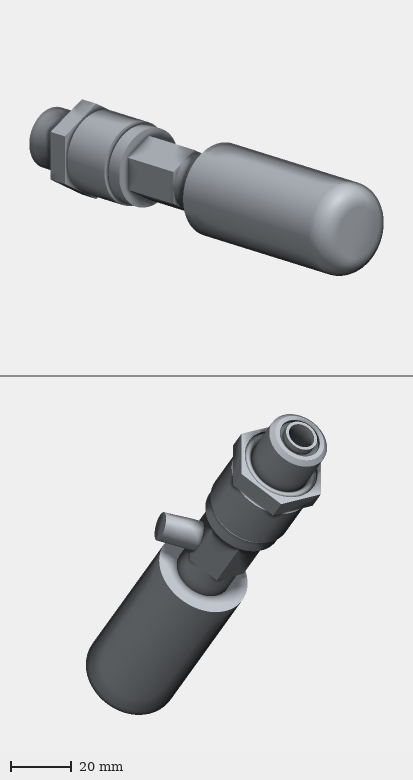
import cadquery as cq
import math


collar_start = 1.5
barrel_start = 2.8
nut_start = 17.1
nut_end = 24.0
sleeve_start = 25.1
sleeve_end = 42.8
disc_start = 44.0
disc_end = 49.1
hex_body_end = 71.0
handle_start = 82.1
handle_end = 148.7

tip_diameter = 11.2
bore_diameter = 9.0
recess_diameter = 14.5
collar_front_diameter = 17.5
barrel_diameter = 20.8
nut_neck_diameter = 26.2
sleeve_diameter = 28.7
disc_neck_diameter = 14.3
disc_diameter = 27.0
stem_diameter = 19.2
handle_diameter = 31.8
handle_fillet = 6.7

nut_corners = 33.0
hex_body_flats = stem_diameter
hex_body_corners = hex_body_flats / math.cos(math.pi / 6)

bore_depth = 16.4
recess_depth = 1.5

seal_outer_diameter = 25.7
seal_setback = 0.1

stub_x = 64.5
stub_base_diameter = 10.1
stub_end_diameter = 9.7
stub_taper_start = 14.6
stub_end = 23.0


def cylinder(start, end, diameter):
    """Cylinder on the X axis."""
    return cq.Workplane("YZ", origin=(start, 0, 0)).circle(diameter / 2).extrude(end - start)


def hexagon(start, end, corners):
    """Hexagonal prism on the X axis with corners at +Z and -Z."""
    prism = cq.Workplane("YZ", origin=(start, 0, 0)).polygon(6, corners).extrude(end - start)
    return prism.rotate((0, 0, 0), (1, 0, 0), 90)


def barrel():
    """Threaded end with a chamfered front edge, reaching into the nut."""
    chamfer = (
        cq.Workplane("XY")
        .moveTo(collar_start, 0)
        .lineTo(collar_start, collar_front_diameter / 2)
        .lineTo(barrel_start, barrel_diameter / 2)
        .lineTo(barrel_start, 0)
        .close()
        .revolve(360, (0, 0), (1, 0))
    )
    return chamfer.union(cylinder(barrel_start, nut_end, barrel_diameter))


def nut():
    """Hex nut whose front groove holds a half-round sealing ring."""
    section_radius = (seal_outer_diameter - barrel_diameter) / 4
    ring_crest = nut_start + seal_setback
    groove_floor = ring_crest + section_radius
    ring_inner = barrel_diameter / 2
    ring_outer = seal_outer_diameter / 2
    groove_space = (
        cq.Workplane("XY")
        .moveTo(nut_start, ring_inner)
        .lineTo(groove_floor, ring_inner)
        .threePointArc((ring_crest, ring_inner + section_radius), (groove_floor, ring_outer))
        .lineTo(groove_floor, nut_neck_diameter / 2)
        .lineTo(nut_start, nut_neck_diameter / 2)
        .close()
        .revolve(360, (0, 0), (1, 0))
    )
    return hexagon(nut_start, nut_end, nut_corners).cut(groove_space)


def handle():
    """Large cylinder with a rounded far end."""
    body = cylinder(handle_start, handle_end, handle_diameter)
    return body.faces(">X").edges().fillet(handle_fillet)


def side_stub():
    """Stub that is straight at its base and tapers slightly to its end."""
    return (
        cq.Workplane("XY")
        .moveTo(stub_x, 0)
        .lineTo(stub_x + stub_base_diameter / 2, 0)
        .lineTo(stub_x + stub_base_diameter / 2, stub_taper_start)
        .lineTo(stub_x + stub_end_diameter / 2, stub_end)
        .lineTo(stub_x, stub_end)
        .close()
        .revolve(360, (stub_x, 0), (stub_x, 1))
    )


recess = cylinder(collar_start, collar_start + recess_depth, recess_diameter)

result = (
    nut()
    .union(barrel())
    .cut(recess)
    .union(cylinder(0, nut_end, tip_diameter))
    .union(cylinder(nut_end, sleeve_start, nut_neck_diameter))
    .union(cylinder(sleeve_start, sleeve_end, sleeve_diameter))
    .union(cylinder(sleeve_end, disc_start, disc_neck_diameter))
    .union(cylinder(disc_start, disc_end, disc_diameter))
    .union(hexagon(disc_end, hex_body_end, hex_body_corners))
    .union(cylinder(hex_body_end, handle_start, stem_diameter))
    .union(handle())
    .union(side_stub())
    .cut(cylinder(0, bore_depth, bore_diameter))
)